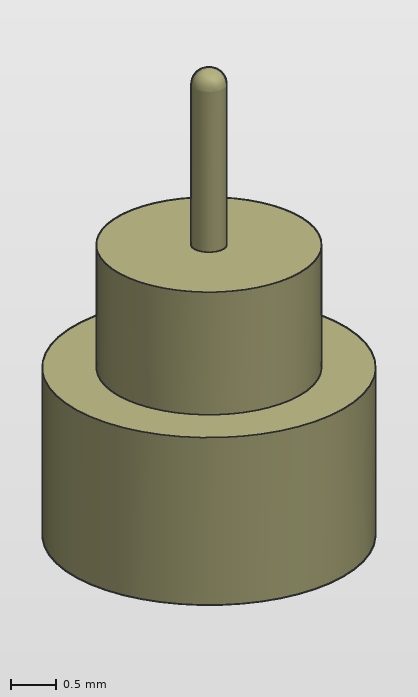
import cadquery as cq

total_height = 5.7
base_diameter = 3.7
base_height = 2.05
collar_diameter = 2.5
collar_height = 1.5

insert_diameter = 1.95

pin_diameter = 0.4
tip_rounding = 0.19

collar_top = base_height + collar_height
pin_length = total_height - collar_top


def cylinder(diameter, height, bottom):
    """Solid cylinder about Z, starting at the given height."""
    return cq.Workplane("XY").workplane(offset=bottom).circle(diameter / 2).extrude(height)


base = cylinder(base_diameter, base_height, 0)

insert = cylinder(insert_diameter, collar_height, base_height)
sleeve = cylinder(collar_diameter, collar_height, base_height).cut(insert)

pin = cylinder(pin_diameter, pin_length, collar_top).faces(">Z").edges().fillet(tip_rounding)

result = base.union(sleeve, clean=False).union(insert, clean=False).union(pin, clean=False)